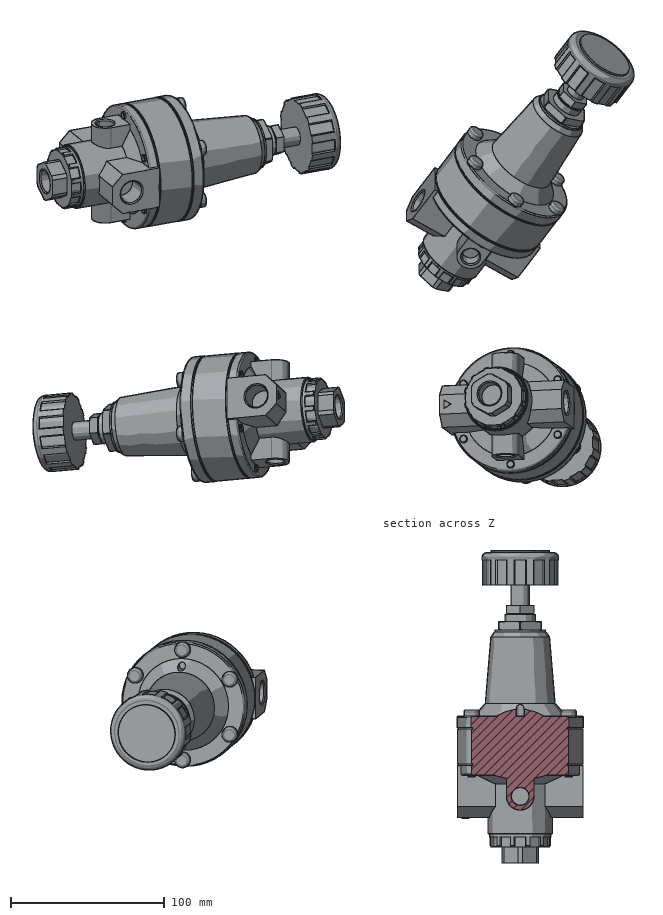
import cadquery as cq
import math


CAP_START = 10.6
NECK_START = 18.8
PORT_AXIS = 43.45
SHOULDER_START = 51.5
LOWER_FLANGE_START = 57.2
LOWER_GROOVE_START = 63.5
UPPER_GROOVE_START = 87.2
GROOVE_WIDTH = 1.1
UPPER_FLANGE_END = 95.7
BONNET_START = 104.0
BONNET_TAPER_END = 147.2
BONNET_END = 150.6
LOCK_NUT_START = 151.9
SLEEVE_START = 157.3
STEM_NUT_START = 162.5
STEM_START = 167.9
KNOB_START = 181.0
KNOB_END = 202.3
OVERALL_LENGTH = 203.5

CONNECTOR_FLATS = 24.0
CONNECTOR_CORNER_DIAMETER = 26.2
CAP_DIAMETER = 40.0
CAP_CHAMFER = 0.7
CAP_RIM = 1.8
FLUTE_COUNT = 12
CAP_FLUTE_WIDTH = 8.2
CAP_FLUTE_FLOOR_WIDTH = 7.0
CAP_FLUTE_DEPTH = 1.0

NECK_DIAMETER = 42.3
NECK_CHAMFER = 0.6
SHOULDER_RADIUS = 31.2
BODY_DIAMETER = 82.0
GROOVE_DIAMETER = 80.7
UPPER_FLANGE_DIAMETER = 82.4
FLANGE_FILLET = 0.9

FLARE_RADIUS = 30.3
BONNET_BASE_DIAMETER = 45.6
BONNET_TAPER_DIAMETER = 38.4
BONNET_TOP_DIAMETER = 33.8
BONNET_COLLAR_DIAMETER = 33.0
VENT_DIAMETER = 5.0
VENT_OFFSET = 25.9

LOCK_NUT_FLATS = 28.0
LOCK_NUT_CORNER_DIAMETER = 32.0
LOCK_NUT_CHAMFER = 0.6
SLEEVE_DIAMETER = 20.0
WASHER_DIAMETER = 18.0
WASHER_THICKNESS = 0.7
STEM_NUT_FLATS = 18.0
STEM_DIAMETER = 12.0
KNOB_DIAMETER = 50.0
KNOB_BOSS_DIAMETER = 38.0
KNOB_FILLET = 3.4
KNOB_RIM = 5.0
KNOB_FLUTE_WIDTH = 9.0
KNOB_FLUTE_FLOOR_WIDTH = 7.2
KNOB_FLUTE_DEPTH = 1.0

SCREW_COUNT = 6
SCREW_CIRCLE_RADIUS = 36.5
SCREW_HEAD_DIAMETER = 10.0
SCREW_HEAD_HEIGHT = 4.15
SCREW_HEAD_ROUND = 1.4
SCREW_TIP_DIAMETER = 5.0
SCREW_TIP_LENGTH = 1.3
SCREW_TIP_CHAMFER = 0.4

PORT_BLOCK_LENGTH = 82.0
PORT_BLOCK_HEIGHT = 27.6
PORT_BLOCK_START = 29.6
PORT_BLOCK_CHAMFER = 7.4
GAUGE_BOSS_WIDTH = 18.0
GAUGE_BOSS_SPAN = 67.0
MAIN_BORE_DIAMETER = 14.95
GAUGE_BORE_DIAMETER = 11.45
BORE_CHAMFER = 0.8
MAIN_BORE_DEPTH = 15.0
GAUGE_BORE_DEPTH = 8.0
CONNECTOR_BORE_DEPTH = 10.0

ARROW_BASE_X = -38.0
ARROW_LENGTH = 4.7
ARROW_WIDTH = 5.6
ARROW_HEIGHT = 0.5


def section(station):
    """Workplane across the main axis: local x is X, local y is Z, normal is -Y."""
    return cq.Workplane("XZ", origin=(0, station, 0))


def cylinder(diameter, start, end):
    return section(end).circle(diameter / 2).extrude(end - start)


def cone(start_radius, end_radius, start, end):
    outline = [(0, start), (start_radius, start), (end_radius, end), (0, end)]
    return cq.Workplane("XY").polyline(outline).close().revolve(360, (0, 0), (0, 1))


def hexagon(flats, start, end):
    """Hex bar with its corners at +Z and -Z."""
    corners = flats / math.cos(math.pi / 6)
    bar = section(end).polygon(6, corners).extrude(end - start)
    return bar.rotate((0, 0, 0), (0, 1, 0), 90)


def flutes(diameter, width, floor_width, depth, start, end):
    """Ring of shallow grooves with sloping sides and floors concentric with the axis."""
    outer_radius = diameter / 2
    floor_radius = outer_radius - depth
    side_slope = (width - floor_width) / 2 / depth
    margin = 2 * depth
    outline = [
        (-floor_width / 2 + margin * side_slope, floor_radius - margin),
        (floor_width / 2 - margin * side_slope, floor_radius - margin),
        (width / 2 + margin * side_slope, outer_radius + margin),
        (-width / 2 - margin * side_slope, outer_radius + margin),
    ]
    wedge = section(end).polyline(outline).close().extrude(end - start)
    groove = wedge.cut(cylinder(2 * floor_radius, start, end))
    ring = groove
    for index in range(1, FLUTE_COUNT):
        ring = ring.union(groove.rotate((0, 0, 0), (0, 1, 0), index * 360 / FLUTE_COUNT))
    return ring


def bore(diameter, depth, mouth, direction):
    """Blind bore from a mouth point into the part, with a countersunk edge."""
    radius = diameter / 2
    start = cq.Vector(*mouth)
    inward = cq.Vector(*direction)
    hole = cq.Solid.makeCylinder(radius, depth, start, inward)
    countersink = cq.Solid.makeCone(radius + BORE_CHAMFER, radius, BORE_CHAMFER, start, inward)
    return cq.Workplane(hole).union(cq.Workplane(countersink))


def make_connector():
    bar = hexagon(CONNECTOR_FLATS, 0, CAP_START)
    return bar.intersect(cylinder(CONNECTOR_CORNER_DIAMETER, 0, CAP_START))


def make_cap():
    cap = cylinder(CAP_DIAMETER, CAP_START, NECK_START).faces("<Y").chamfer(CAP_CHAMFER)
    return cap.cut(flutes(CAP_DIAMETER, CAP_FLUTE_WIDTH, CAP_FLUTE_FLOOR_WIDTH, CAP_FLUTE_DEPTH,
                          CAP_START, NECK_START - CAP_RIM))


def make_body():
    lower_groove_end = LOWER_GROOVE_START + GROOVE_WIDTH
    upper_groove_end = UPPER_GROOVE_START + GROOVE_WIDTH
    neck = cylinder(NECK_DIAMETER, NECK_START, LOWER_FLANGE_START).faces("<Y").chamfer(NECK_CHAMFER)
    shoulder = cone(NECK_DIAMETER / 2, SHOULDER_RADIUS, SHOULDER_START, LOWER_FLANGE_START)
    lower_flange = cylinder(BODY_DIAMETER, LOWER_FLANGE_START, LOWER_GROOVE_START)
    lower_flange = lower_flange.faces("<Y").edges().fillet(FLANGE_FILLET)
    core = cylinder(GROOVE_DIAMETER, LOWER_GROOVE_START, upper_groove_end)
    barrel = cylinder(BODY_DIAMETER, lower_groove_end, UPPER_GROOVE_START)
    upper_flange = cylinder(UPPER_FLANGE_DIAMETER, upper_groove_end, UPPER_FLANGE_END)
    upper_flange = upper_flange.faces(">Y").edges().fillet(FLANGE_FILLET)
    return neck.union(shoulder).union(lower_flange).union(core).union(barrel).union(upper_flange)


def make_bonnet():
    flare = cone(FLARE_RADIUS, BONNET_BASE_DIAMETER / 2, UPPER_FLANGE_END, BONNET_START)
    shell = cone(BONNET_BASE_DIAMETER / 2, BONNET_TAPER_DIAMETER / 2, BONNET_START, BONNET_TAPER_END)
    bevel = cone(BONNET_TAPER_DIAMETER / 2, BONNET_TOP_DIAMETER / 2, BONNET_TAPER_END, BONNET_END)
    collar = cylinder(BONNET_COLLAR_DIAMETER, BONNET_END, LOCK_NUT_START)
    vent = cylinder(VENT_DIAMETER, UPPER_FLANGE_END, BONNET_START)
    return flare.union(shell).union(bevel).union(collar).cut(vent.translate((0, 0, VENT_OFFSET)))


def make_adjuster():
    envelope = cylinder(LOCK_NUT_CORNER_DIAMETER, LOCK_NUT_START, SLEEVE_START)
    envelope = envelope.edges().chamfer(LOCK_NUT_CHAMFER)
    lock_nut = hexagon(LOCK_NUT_FLATS, LOCK_NUT_START, SLEEVE_START).intersect(envelope)
    sleeve_end = STEM_NUT_START - WASHER_THICKNESS
    sleeve = cylinder(SLEEVE_DIAMETER, SLEEVE_START, sleeve_end)
    washer = cylinder(WASHER_DIAMETER, sleeve_end, STEM_NUT_START)
    stem_nut = hexagon(STEM_NUT_FLATS, STEM_NUT_START, STEM_START)
    stem = cylinder(STEM_DIAMETER, STEM_START, KNOB_START)
    return lock_nut.union(sleeve).union(washer).union(stem_nut).union(stem)


def make_knob():
    knob = cylinder(KNOB_DIAMETER, KNOB_START, KNOB_END).faces(">Y").edges().fillet(KNOB_FILLET)
    knob = knob.cut(flutes(KNOB_DIAMETER, KNOB_FLUTE_WIDTH, KNOB_FLUTE_FLOOR_WIDTH, KNOB_FLUTE_DEPTH,
                           KNOB_START, KNOB_END - KNOB_RIM))
    return knob.union(cylinder(KNOB_BOSS_DIAMETER, KNOB_END, OVERALL_LENGTH))


def make_port_block():
    size_y = LOWER_GROOVE_START - PORT_BLOCK_START
    block = cq.Workplane("XY").box(PORT_BLOCK_LENGTH, size_y, PORT_BLOCK_HEIGHT)
    block = block.faces("<Y").edges("|X").chamfer(PORT_BLOCK_CHAMFER)
    return block.translate((0, PORT_BLOCK_START + size_y / 2, 0))


def make_gauge_bosses():
    """Both gauge bosses as one bar along Z, rounded towards the connector."""
    radius = GAUGE_BOSS_WIDTH / 2
    return (
        cq.Workplane("XY", origin=(0, 0, -GAUGE_BOSS_SPAN / 2))
        .moveTo(-radius, LOWER_FLANGE_START)
        .lineTo(-radius, PORT_AXIS)
        .threePointArc((0, PORT_AXIS - radius), (radius, PORT_AXIS))
        .lineTo(radius, LOWER_FLANGE_START)
        .close()
        .extrude(GAUGE_BOSS_SPAN)
    )


def make_flow_arrow():
    outline = [
        (ARROW_BASE_X, -ARROW_WIDTH / 2),
        (ARROW_BASE_X + ARROW_LENGTH, 0),
        (ARROW_BASE_X, ARROW_WIDTH / 2),
    ]
    return section(PORT_BLOCK_START).polyline(outline).close().extrude(ARROW_HEIGHT)


def make_screw():
    """Protruding head and tip of one flange screw, placed at the +Z position."""
    head = cylinder(SCREW_HEAD_DIAMETER, UPPER_FLANGE_END, UPPER_FLANGE_END + SCREW_HEAD_HEIGHT)
    head = head.faces(">Y").edges().fillet(SCREW_HEAD_ROUND)
    tip = cylinder(SCREW_TIP_DIAMETER, LOWER_FLANGE_START - SCREW_TIP_LENGTH, LOWER_FLANGE_START)
    tip = tip.faces("<Y").chamfer(SCREW_TIP_CHAMFER)
    return head.union(tip).translate((0, 0, SCREW_CIRCLE_RADIUS))


regulator = make_body()
for component in (make_connector(), make_cap(), make_bonnet(), make_adjuster(), make_knob(),
                  make_port_block(), make_gauge_bosses(), make_flow_arrow()):
    regulator = regulator.union(component)

screw = make_screw()
for index in range(SCREW_COUNT):
    regulator = regulator.union(screw.rotate((0, 0, 0), (0, 1, 0), index * 360 / SCREW_COUNT))

regulator = regulator.cut(bore(MAIN_BORE_DIAMETER, CONNECTOR_BORE_DEPTH, (0, 0, 0), (0, 1, 0)))
for side in (-1, 1):
    main_mouth = (side * PORT_BLOCK_LENGTH / 2, PORT_AXIS, 0)
    gauge_mouth = (0, PORT_AXIS, side * GAUGE_BOSS_SPAN / 2)
    regulator = regulator.cut(bore(MAIN_BORE_DIAMETER, MAIN_BORE_DEPTH, main_mouth, (-side, 0, 0)))
    regulator = regulator.cut(bore(GAUGE_BORE_DIAMETER, GAUGE_BORE_DEPTH, gauge_mouth, (0, 0, -side)))

result = regulator